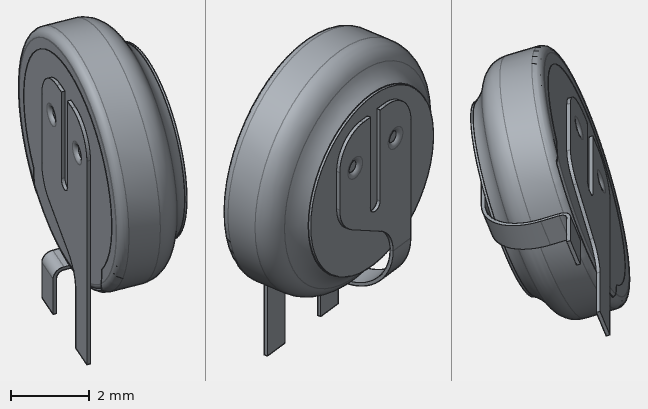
import cadquery as cq
import math


can_length = 2.2
can_diameter = 6.78
can_edge_radius = 0.16
cap_diameter = 5.18

sleeve_diameter = 6.96
flange_thickness = 0.01
flange_opening_radius = 2.93
notch_radius = 2.27
notch_center_z = -1.86
notch_depth = 0.06
sleeve_wall = (sleeve_diameter - can_diameter) / 2
sleeve_edge_radius = can_edge_radius + sleeve_wall

shoulder_start_y = 0.0
shoulder_convex_radius = 0.69
inflection_y = 0.63
shoulder_end_y = 1.03
shoulder_end_radius = 2.61

sheet = 0.1
plate_width = 3.0
plate_top_z = 2.1
corner_radius = 1.0
slot_width = 0.4
slot_bottom_z = -0.88
leg_width = 0.75
leg_bottom_z = -5.44
taper_angle = math.radians(30)
front_taper_end_z = -3.57
weld_hole_x = 0.85
weld_hole_z = 0.9
weld_hole_rim_radius = 0.31
weld_hole_throat_radius = 0.16

rear_bend_z = -2.5
rear_bend_radius = 1.6
foot_bend_radius = 0.3

can_front_y = -can_length / 2
can_rear_y = can_length / 2
flange_y = can_front_y - flange_thickness
front_face_y = can_front_y - sheet
rear_face_y = can_rear_y + sheet


def shouldered_disc(inset, front_y, edge_radius):
    """Revolved disc with a rounded front edge and an S-shaped rear shoulder.

    The wall and the shoulder lie `inset` inside the outer surface of the sleeve.
    """
    wall_radius = sleeve_diameter / 2 - inset

    normal_y = (inflection_y - shoulder_start_y) / shoulder_convex_radius
    normal_r = math.sqrt(1 - normal_y**2)
    convex_center_r = sleeve_diameter / 2 - shoulder_convex_radius
    inflection_r = convex_center_r + shoulder_convex_radius * normal_r

    chord_r = shoulder_end_radius - inflection_r
    chord_y = shoulder_end_y - inflection_y
    concave_radius = (chord_r**2 + chord_y**2) / (2 * (chord_r * normal_r + chord_y * normal_y))
    concave_center_r = inflection_r + concave_radius * normal_r
    concave_center_y = inflection_y + concave_radius * normal_y
    end_scale = (concave_radius + inset) / concave_radius

    inflection = (inflection_r - inset * normal_r, inflection_y - inset * normal_y)
    shoulder_end = (
        concave_center_r + end_scale * (shoulder_end_radius - concave_center_r),
        concave_center_y + end_scale * (shoulder_end_y - concave_center_y),
    )
    return (
        cq.Workplane("XY")
        .moveTo(0, front_y)
        .lineTo(wall_radius - edge_radius, front_y)
        .tangentArcPoint((wall_radius, front_y + edge_radius), relative=False)
        .lineTo(wall_radius, shoulder_start_y)
        .tangentArcPoint(inflection, relative=False)
        .tangentArcPoint(shoulder_end, relative=False)
        .lineTo(0, shoulder_end[1])
        .close()
        .revolve(360, (0, 0, 0), (0, 1, 0))
    )


def cylinder_y(radius, start_y, end_y, center_z=0.0):
    """Cylinder along Y between two Y positions."""
    return (
        cq.Workplane("XZ", origin=(0, start_y, center_z))
        .circle(radius)
        .extrude(start_y - end_y)
    )


def make_can():
    cap = cylinder_y(cap_diameter / 2, 0, can_rear_y)
    return shouldered_disc(sleeve_wall, can_front_y, can_edge_radius).union(cap)


def make_sleeve(can):
    """Thin jacket over the can, with an open front flange notched where the terminal leaves."""
    opening = cylinder_y(flange_opening_radius, flange_y, can_front_y)
    notch = cylinder_y(notch_radius, flange_y, flange_y + notch_depth, notch_center_z)
    return shouldered_disc(0, flange_y, sleeve_edge_radius).cut(can).cut(opening).cut(notch)


def make_plate(outer_y, taper_end_z):
    """Flat terminal plate, `sheet` thick from `outer_y` toward +Y.

    A sloping edge narrows it to the leg width on the +X side; it ends there at `taper_end_z`.
    """
    half_width = plate_width / 2
    leg_inner_x = half_width - leg_width
    turn_x = corner_radius * (1 - math.sin(taper_angle))
    turn_z = corner_radius * math.cos(taper_angle)
    slope_right = (leg_inner_x - turn_x, taper_end_z + turn_z)
    slope_left_x = -half_width + turn_x
    slope_rise = (slope_right[0] - slope_left_x) * math.tan(taper_angle)
    slope_left = (slope_left_x, slope_right[1] + slope_rise)

    outline = (
        cq.Workplane("XZ", origin=(0, outer_y, 0))
        .moveTo(half_width, taper_end_z)
        .lineTo(half_width, plate_top_z - corner_radius)
        .tangentArcPoint((half_width - corner_radius, plate_top_z), relative=False)
        .lineTo(corner_radius - half_width, plate_top_z)
        .tangentArcPoint((-half_width, plate_top_z - corner_radius), relative=False)
        .lineTo(-half_width, slope_left[1] + turn_z)
        .tangentArcPoint(slope_left, relative=False)
        .lineTo(*slope_right)
        .tangentArcPoint((leg_inner_x, taper_end_z), relative=False)
        .close()
    )
    plate = cut_slot(outline.extrude(-sheet), outer_y)
    return cut_weld_holes(plate, outer_y)


def cut_slot(plate, outer_y):
    """Slot open at the top of the plate, with a round lower end."""
    slot_end_z = slot_bottom_z + slot_width / 2
    slot_height = plate_top_z - slot_end_z
    straight = (
        cq.Workplane("XY")
        .box(slot_width, sheet, slot_height, centered=(True, False, False))
        .translate((0, outer_y, slot_end_z))
    )
    round_end = cylinder_y(slot_width / 2, outer_y, outer_y + sheet, slot_end_z)
    return plate.cut(straight).cut(round_end)


def cut_weld_holes(plate, outer_y):
    """Pair of through holes that flare out in an arc tangent to the outer face."""
    flare_width = weld_hole_rim_radius - weld_hole_throat_radius
    flare_radius = (flare_width**2 + sheet**2) / (2 * sheet)
    cutter = (
        cq.Workplane("XY")
        .moveTo(0, sheet)
        .lineTo(0, 0)
        .lineTo(weld_hole_rim_radius, 0)
        .radiusArc((weld_hole_throat_radius, sheet), flare_radius)
        .close()
        .revolve(360, (0, 0, 0), (0, 1, 0))
    )
    for side in (-1, 1):
        plate = plate.cut(cutter.translate((side * weld_hole_x, outer_y, weld_hole_z)))
    return plate


def make_front_terminal():
    """Flat plate with a straight leg on the +X side."""
    leg = (
        cq.Workplane("XY", origin=(plate_width / 2 - leg_width, front_face_y, leg_bottom_z))
        .box(leg_width, sheet, front_taper_end_z - leg_bottom_z, centered=False)
    )
    return make_plate(front_face_y, front_taper_end_z).union(leg)


def make_rear_leg():
    """Leg that curves under the cell, then turns down in the plane of the front terminal."""
    bend_center_y = rear_face_y - rear_bend_radius
    run_bottom_z = rear_bend_z - rear_bend_radius
    run_top_z = run_bottom_z + sheet
    foot_center_y = front_face_y + foot_bend_radius
    foot_center_z = run_top_z - foot_bend_radius
    return (
        cq.Workplane("YZ", origin=(-plate_width / 2, 0, 0))
        .moveTo(rear_face_y, rear_bend_z)
        .radiusArc((bend_center_y, run_bottom_z), rear_bend_radius)
        .lineTo(foot_center_y, run_bottom_z)
        .radiusArc((front_face_y + sheet, foot_center_z), -(foot_bend_radius - sheet))
        .lineTo(front_face_y + sheet, leg_bottom_z)
        .lineTo(front_face_y, leg_bottom_z)
        .lineTo(front_face_y, foot_center_z)
        .radiusArc((foot_center_y, run_top_z), foot_bend_radius)
        .lineTo(bend_center_y, run_top_z)
        .radiusArc((rear_face_y - sheet, rear_bend_z), -(rear_bend_radius - sheet))
        .close()
        .extrude(leg_width)
    )


def make_rear_terminal():
    """Plate turned half a turn about Z, so that its leg is on the -X side, plus the bent leg."""
    plate = make_plate(-rear_face_y, rear_bend_z).rotate((0, 0, 0), (0, 0, 1), 180)
    return plate.union(make_rear_leg())


can = make_can()
sleeve = make_sleeve(can)
front_terminal = make_front_terminal()
rear_terminal = make_rear_terminal()

bodies = [can, sleeve, front_terminal, rear_terminal]
result = cq.Compound.makeCompound([body.solids().val() for body in bodies])